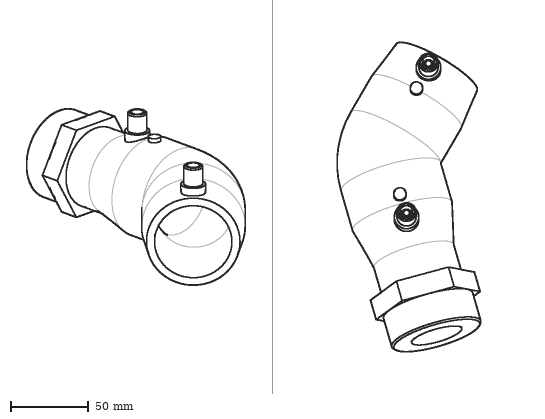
import cadquery as cq
import math

collar_length = 20.8
collar_radius = 30.0
collar_chamfer = 1.2
hex_length = 13.5
hex_across_flats = 60.5
neck_end = 55.3
neck_radius = 27.0
taper_length = 27.5
sleeve_radius = 33.5
sleeve_length = 27.5

bend_angle = 45.0
inner_bend_radius = 0.2
bend_radius = sleeve_radius + inner_bend_radius
outlet_taper_length = 26.8
outlet_radius = 30.3

inlet_bore_radius = 16.9
sleeve_bore_radius = 25.0

top_step_height = 36.3
terminal_height = 48.9
terminal_radius = 6.2
terminal_chamfer = 1.0
flange_radius = 8.0
flange_slope_height = 0.4
flange_slope_width = 1.5
socket_radius = 4.0
socket_depth = 9.7
contact_radius = 2.7
contact_chamfer = 0.8
contact_recess = 3.0
button_radius = 4.0
terminal_spacing = 16.0
inlet_button_x = 88.5

sleeve_start = neck_end + taper_length
bend_start = sleeve_start + sleeve_length
hex_corner_diameter = hex_across_flats / math.cos(math.radians(30))
turn = math.radians(bend_angle)
bend_end_x = bend_start + bend_radius * math.sin(turn)
bend_end_y = -bend_radius * (1 - math.cos(turn))


def outlet_point(distance):
    """Point on the outlet axis at a distance past the bend."""
    return (bend_end_x + distance * math.cos(turn), bend_end_y - distance * math.sin(turn))


def turned_solid(profile):
    """Revolve an (x, radius) profile about the X axis."""
    outline = [(profile[0][0], 0)] + profile + [(profile[-1][0], 0)]
    return cq.Workplane("XY").polyline(outline).close().revolve(360, (0, 0, 0), (1, 0, 0))


def bend(radius):
    """Solid elbow turning from +X toward -Y."""
    return (
        cq.Workplane("YZ", origin=(bend_start, 0, 0))
        .circle(radius)
        .revolve(bend_angle, (-bend_radius, 0, 0), (-bend_radius, -1, 0))
    )


def on_outlet(solid):
    """Move a solid built from the origin along +X onto the outlet axis."""
    return solid.rotate((0, 0, 0), (0, 0, 1), -bend_angle).translate((bend_end_x, bend_end_y, 0))


def post(point, radius, bottom, top):
    """Vertical cylinder between two heights."""
    return cq.Workplane("XY", origin=(*point, bottom)).circle(radius).extrude(top - bottom)


def terminal(point):
    """Chamfered terminal with its flange, rooted inside the pipe wall."""
    root = sleeve_bore_radius
    flange = post(point, flange_radius, root, top_step_height)
    flange = flange.faces(">Z").edges().chamfer(flange_slope_height, flange_slope_width)
    pin = post(point, terminal_radius, root, terminal_height).faces(">Z").chamfer(terminal_chamfer)
    return flange.union(pin)


def socket(point):
    """Annular recess that leaves a contact standing in the terminal."""
    floor = terminal_height - socket_depth
    contact = post(point, contact_radius, floor, terminal_height - contact_recess)
    contact = contact.faces(">Z").chamfer(contact_chamfer)
    return post(point, socket_radius, floor, terminal_height).cut(contact)


inlet = turned_solid([
    (0, collar_radius - collar_chamfer),
    (collar_chamfer, collar_radius),
    (collar_length, collar_radius),
    (collar_length, neck_radius),
    (neck_end, neck_radius),
    (sleeve_start, sleeve_radius),
    (bend_start, sleeve_radius),
])
outlet_end = sleeve_length + outlet_taper_length
outlet = on_outlet(turned_solid([
    (0, sleeve_radius),
    (sleeve_length, sleeve_radius),
    (outlet_end, outlet_radius),
]))
hexagon = (
    cq.Workplane("YZ", origin=(collar_length, 0, 0))
    .polygon(6, hex_corner_diameter)
    .extrude(hex_length)
)
body = inlet.union(hexagon).union(bend(sleeve_radius)).union(outlet)

terminal_points = [
    (inlet_button_x - terminal_spacing, 0),
    outlet_point(sleeve_length + terminal_spacing),
]
button_root = (sleeve_bore_radius + sleeve_radius) / 2
button_points = [(inlet_button_x, 0), outlet_point(sleeve_length)]
for point in terminal_points:
    body = body.union(terminal(point))
for point in button_points:
    body = body.union(post(point, button_radius, button_root, top_step_height))

inlet_bore = turned_solid([
    (0, inlet_bore_radius),
    (neck_end, inlet_bore_radius),
    (sleeve_start, sleeve_bore_radius),
    (bend_start, sleeve_bore_radius),
])
outlet_bore = on_outlet(turned_solid([(0, sleeve_bore_radius), (outlet_end, sleeve_bore_radius)]))
for cavity in (inlet_bore, bend(sleeve_bore_radius), outlet_bore):
    body = body.cut(cavity)
for point in terminal_points:
    body = body.cut(socket(point))

result = body